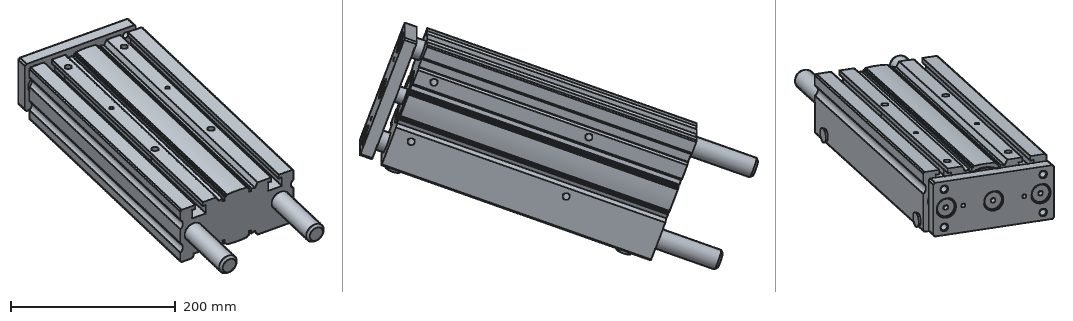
import cadquery as cq


total_length = 459.5
plate_thickness = 15.5
housing_start = 28.5
housing_length = 348.5

housing_width = 161.7
housing_height = 78.0
housing_chamfer = 2.0
half_width = housing_width / 2
half_height = housing_height / 2
cut_clearance = 4.5

crown_rise = 38.0
crown_edge_y = 14.2
crown_edge_z = 37.0
crown_foot_y = 15.5
crown_foot_z = 35.5
valley_y = 25.7
valley_z = 32.0
land_y = 29.5
switch_slot_y = 19.0
switch_slot_width = 2.8
switch_slot_floor = 29.5

t_slot_y = 54.0
t_slot_neck_width = 11.0
t_slot_head_width = 19.8
t_slot_neck_depth = 6.0
t_slot_depth = 18.5

bottom_slot_y = -56.0
bottom_slot_width = 11.0
bottom_slot_mouth_width = 16.5
bottom_slot_flare_depth = 3.0
bottom_slot_depth = 6.0

side_groove_z = 17.5
side_groove_width = 13.5
side_groove_depth = 3.5

mount_hole_x = (housing_start + 23.5, housing_start + 224.0)
mount_hole_y = 40.0
mount_hole_diameter = 8.7
dowel_diameter = 5.0
housing_dowel_x = housing_start + 123.5
dowel_depth = 10.0

port_boss_x = (housing_start + 15.5, housing_start + 314.5)
port_boss_z = -28.0
port_boss_diameter = 18.5
port_boss_neck_diameter = 15.5
port_boss_height = 3.0

collar_diameter = 63.5
collar_seat_depth = 23.0
collar_seat_chamfer = 2.0
collar_boss_diameter = 48.5
collar_boss_length = 4.5

plate_width = 158.0
plate_height = 70.5
plate_chamfer = 2.5
plate_hole_y = 65.0
plate_hole_z = 25.0
plate_hole_diameter = 8.5
plate_hole_chamfer = 1.0
plate_dowel_y = 40.0

guide_rod_y = 62.0
guide_rod_diameter = 25.5
piston_rod_diameter = 20.0
piston_rod_head_diameter = guide_rod_diameter
housing_back_wall = 18.5
piston_rod_end = housing_start + housing_length - housing_back_wall
rod_front_recess = 2.0
rod_front_chamfer = 1.5
rod_back_chamfer = 3.0
centre_hole_diameter = 6.0
centre_hole_depth = 9.0


def bar(start, length, y, diameter):
    """Round bar along X whose axis lies at mid height."""
    return cq.Workplane("YZ", origin=(start, y, 0)).circle(diameter / 2).extrude(length)


def lengthwise_block(y, z_low, z_high, width):
    """Rectangular bar that runs along the full length of the housing."""
    return (
        cq.Workplane("XY", origin=(housing_start, y, z_low))
        .box(housing_length, width, z_high - z_low, centered=(False, True, False))
    )


def valley_cutter():
    """Everything to remove above the crown and its two valleys, for the top face."""
    above_top = half_height + cut_clearance
    return (
        cq.Workplane("YZ", origin=(housing_start, 0, 0))
        .moveTo(-land_y, above_top)
        .lineTo(-land_y, half_height)
        .lineTo(-valley_y, valley_z)
        .lineTo(-crown_foot_y, crown_foot_z)
        .lineTo(-crown_edge_y, crown_edge_z)
        .threePointArc((0, crown_rise), (crown_edge_y, crown_edge_z))
        .lineTo(crown_foot_y, crown_foot_z)
        .lineTo(valley_y, valley_z)
        .lineTo(land_y, half_height)
        .lineTo(land_y, above_top)
        .close()
        .extrude(housing_length)
    )


def switch_slot_cutter(y):
    """Narrow sensor slot beside the crown."""
    return lengthwise_block(y, switch_slot_floor, half_height, switch_slot_width)


def t_slot_cutter(y):
    """T-slot open to the top face."""
    neck_floor = half_height - t_slot_neck_depth
    slot_floor = half_height - t_slot_depth
    neck = lengthwise_block(y, neck_floor, half_height, t_slot_neck_width)
    return neck.union(lengthwise_block(y, slot_floor, neck_floor, t_slot_head_width))


def side_groove_cutter(side, z):
    """Arc-shaped groove along one side; side is +1 for +Y and -1 for -Y."""
    face_y = side * half_width
    return (
        cq.Workplane("YZ", origin=(housing_start, 0, 0))
        .moveTo(face_y, z - side_groove_width / 2)
        .threePointArc(
            (face_y - side * side_groove_depth, z),
            (face_y, z + side_groove_width / 2),
        )
        .close()
        .extrude(housing_length)
    )


def bottom_slot_cutter():
    """Slot with a flared mouth, open to the bottom face."""
    half_slot = bottom_slot_width / 2
    half_mouth = bottom_slot_mouth_width / 2
    flare_top = -half_height + bottom_slot_flare_depth
    slot_roof = -half_height + bottom_slot_depth
    return (
        cq.Workplane("YZ", origin=(housing_start, bottom_slot_y, 0))
        .moveTo(-half_mouth, -half_height)
        .lineTo(-half_slot, flare_top)
        .lineTo(-half_slot, slot_roof)
        .lineTo(half_slot, slot_roof)
        .lineTo(half_slot, flare_top)
        .lineTo(half_mouth, -half_height)
        .close()
        .extrude(housing_length)
    )


def collar_seat_cutter():
    """Counterbore for the rod collar, widened at its mouth by a chamfer."""
    mouth_radius = collar_diameter / 2 + collar_seat_chamfer
    mouth = (
        cq.Workplane("YZ", origin=(housing_start, 0, 0))
        .circle(mouth_radius)
        .workplane(offset=collar_seat_chamfer)
        .circle(collar_diameter / 2)
        .loft()
    )
    return mouth.union(bar(housing_start, collar_seat_depth, 0, collar_diameter))


def port_boss(x):
    """Tapered boss standing out of the +Y side, widest at its outer end."""
    return (
        cq.Workplane("XZ", origin=(x, half_width, port_boss_z))
        .circle(port_boss_neck_diameter / 2)
        .workplane(offset=-port_boss_height)
        .circle(port_boss_diameter / 2)
        .loft()
    )


def make_housing():
    housing = (
        cq.Workplane("XY", origin=(housing_start, 0, 0))
        .box(housing_length, housing_width, housing_height, centered=(False, True, True))
        .edges("|X")
        .chamfer(housing_chamfer)
    )

    crown_cut = valley_cutter()
    for side in (-1, 1):
        crown_cut = crown_cut.union(switch_slot_cutter(side * switch_slot_y))
    housing = housing.cut(crown_cut).cut(crown_cut.mirror("XY"))

    for side in (-1, 1):
        housing = housing.cut(t_slot_cutter(side * t_slot_y))
        housing = housing.cut(side_groove_cutter(side, side_groove_z))
    housing = housing.cut(bottom_slot_cutter())
    housing = housing.cut(side_groove_cutter(-1, -side_groove_z))

    for y in (-mount_hole_y, mount_hole_y):
        for x in mount_hole_x:
            hole = (
                cq.Workplane("XY", origin=(x, y, -half_height))
                .circle(mount_hole_diameter / 2)
                .extrude(housing_height)
            )
            housing = housing.cut(hole)
        dowel_hole = (
            cq.Workplane("XY", origin=(housing_dowel_x, y, half_height))
            .circle(dowel_diameter / 2)
            .extrude(-dowel_depth)
        )
        housing = housing.cut(dowel_hole)

    for y in (-guide_rod_y, guide_rod_y):
        housing = housing.cut(bar(housing_start, housing_length, y, guide_rod_diameter))
    rod_bore_length = piston_rod_end - housing_start
    housing = housing.cut(bar(housing_start, rod_bore_length, 0, piston_rod_diameter))
    housing = housing.cut(collar_seat_cutter())

    for x in port_boss_x:
        housing = housing.union(port_boss(x))
    return housing


def make_plate():
    plate = (
        cq.Workplane("XY")
        .box(plate_thickness, plate_width, plate_height, centered=(False, True, True))
        .edges("|X")
        .chamfer(plate_chamfer)
    )
    screw_holes = (
        cq.Workplane("YZ")
        .rect(2 * plate_hole_y, 2 * plate_hole_z, forConstruction=True)
        .vertices()
        .circle(plate_hole_diameter / 2)
        .extrude(plate_thickness)
    )
    plate = plate.cut(screw_holes)
    plate = plate.faces("<X").edges("%CIRCLE").chamfer(plate_hole_chamfer)
    for y in (-plate_dowel_y, plate_dowel_y):
        dowel_hole = bar(0, dowel_depth, y, dowel_diameter)
        plate = plate.cut(dowel_hole)
    for y in (-guide_rod_y, 0, guide_rod_y):
        plate = plate.cut(bar(0, plate_thickness, y, guide_rod_diameter))
    return plate


def make_collar():
    """Disc behind a narrower boss whose front is flush with the housing."""
    disc_start = housing_start + collar_boss_length
    disc = bar(disc_start, collar_seat_depth - collar_boss_length, 0, collar_diameter)
    boss = bar(housing_start, collar_boss_length, 0, collar_boss_diameter)
    return disc.union(boss).cut(bar(housing_start, collar_seat_depth, 0, piston_rod_diameter))


def centre_hole(y):
    """Blind hole in the front end of a rod."""
    return bar(rod_front_recess, centre_hole_depth, y, centre_hole_diameter)


def make_guide_rod(y):
    rod = bar(rod_front_recess, total_length - rod_front_recess, y, guide_rod_diameter)
    rod = rod.faces("<X").chamfer(rod_front_chamfer)
    rod = rod.faces(">X").chamfer(rod_back_chamfer)
    return rod.cut(centre_hole(y))


def make_piston_rod():
    head = bar(rod_front_recess, plate_thickness - rod_front_recess, 0, piston_rod_head_diameter)
    head = head.faces("<X").chamfer(rod_front_chamfer)
    shaft = bar(plate_thickness, piston_rod_end - plate_thickness, 0, piston_rod_diameter)
    return head.union(shaft).cut(centre_hole(0))


housing = make_housing()
collar = make_collar()
plate = make_plate()
piston_rod = make_piston_rod()
guide_rods = [make_guide_rod(y) for y in (-guide_rod_y, guide_rod_y)]

result = cq.Compound.makeCompound(
    [
        housing.val(),
        collar.val(),
        plate.val(),
        piston_rod.val(),
        *[rod.val() for rod in guide_rods],
    ]
)